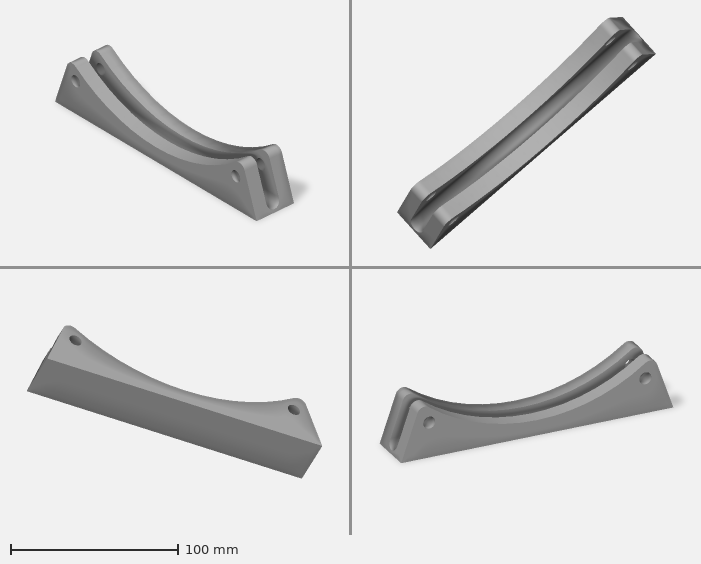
import cadquery as cq
import math

length = 180.0
width = 30.0
height = 34.2
tip_radius = 5.0
tip_center_x = 74.5
saddle_floor = 10.0
slot_width = 10.0
slot_floor = 2.0
hole_diameter = 8.0
hole_x = 71.5
hole_z = 23.0

tip_center_z = height - tip_radius
tip_rise = tip_center_z - saddle_floor
saddle_radius = (tip_center_x**2 + tip_rise**2 - tip_radius**2) / (2 * (tip_rise + tip_radius))
saddle_center_z = saddle_floor + saddle_radius
tip_share = tip_radius / (saddle_radius + tip_radius)
saddle_end_x = tip_center_x * (1 - tip_share)
saddle_end_z = tip_center_z + (saddle_center_z - tip_center_z) * tip_share

corner_to_tip_x = length / 2 - tip_center_x
corner_to_tip = math.hypot(corner_to_tip_x, tip_center_z)
end_slope = math.atan2(tip_center_z, corner_to_tip_x) + math.asin(tip_radius / corner_to_tip)
end_top_x = tip_center_x + tip_radius * math.sin(end_slope)
end_top_z = tip_center_z + tip_radius * math.cos(end_slope)


def make_body():
    """Saddle profile extruded symmetrically across the width."""
    return (
        cq.Workplane("XZ")
        .moveTo(-length / 2, 0)
        .lineTo(length / 2, 0)
        .lineTo(end_top_x, end_top_z)
        .threePointArc((tip_center_x, height), (saddle_end_x, saddle_end_z))
        .threePointArc((0, saddle_floor), (-saddle_end_x, saddle_end_z))
        .threePointArc((-tip_center_x, height), (-end_top_x, end_top_z))
        .close()
        .extrude(width / 2, both=True)
    )


def make_slot():
    """Round-bottomed slot along the full length, open at the top."""
    half_width = slot_width / 2
    round_center_z = slot_floor + half_width
    return (
        cq.Workplane("YZ")
        .moveTo(-half_width, height)
        .lineTo(-half_width, round_center_z)
        .threePointArc((0, slot_floor), (half_width, round_center_z))
        .lineTo(half_width, height)
        .close()
        .extrude(length / 2, both=True)
    )


def make_holes():
    """Cross holes through both cheeks, one near each tip."""
    return (
        cq.Workplane("XZ")
        .pushPoints([(-hole_x, hole_z), (hole_x, hole_z)])
        .circle(hole_diameter / 2)
        .extrude(width / 2, both=True)
    )


result = make_body().cut(make_slot()).cut(make_holes())